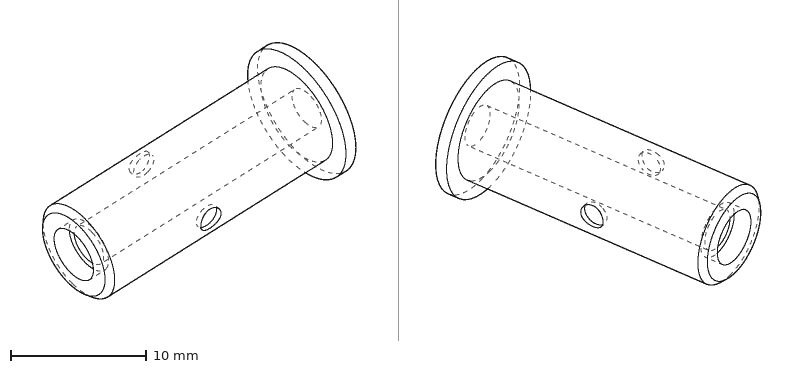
import cadquery as cq

length = 23.0
flange_diameter = 11.0
flange_thickness = 1.0
body_diameter = 8.0
nose_chamfer = 0.5
bore_diameter = 3.3
counterbore_diameter = 4.4
counterbore_depth = 1.5
side_hole_diameter = 2.0
side_hole_from_nose = 10.0
side_hole_depth = 0.5


def cylinder_along_y(diameter, start, height):
    """Cylinder centred on the Y axis, running from y = start toward +Y."""
    return cq.Workplane("XZ", origin=(0, start, 0)).circle(diameter / 2).extrude(-height)


def side_hole(side):
    """Cutter for a blind radial hole on the -X (side = -1) or +X (side = 1) face."""
    floor = side * (body_diameter / 2 - side_hole_depth)
    return (
        cq.Workplane("YZ", origin=(floor, side_hole_from_nose, 0))
        .circle(side_hole_diameter / 2)
        .extrude(side * body_diameter / 2)
    )


body = cylinder_along_y(body_diameter, 0, length).faces("<Y").chamfer(nose_chamfer)
flange = cylinder_along_y(flange_diameter, length - flange_thickness, flange_thickness)
result = body.union(flange)

result = result.cut(cylinder_along_y(bore_diameter, 0, length))
result = result.cut(cylinder_along_y(counterbore_diameter, 0, counterbore_depth))

for side in (-1, 1):
    result = result.cut(side_hole(side))